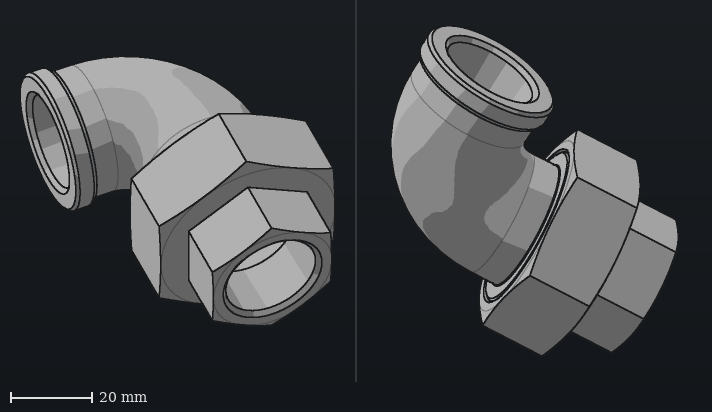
import cadquery as cq
import math


pipe_diameter = 33.0
pipe_bore = 28.4
bend_radius = 21.4

collar_diameter = 36.0
collar_end = 33.0
collar_length = 5.6
collar_front_chamfer = 0.8
collar_back_chamfer_length = 1.0
collar_back_chamfer_depth = 0.5

thread_bore = 24.1
thread_depth = 15.1
thread_chamfer = 1.2

nut_flats = 47.0
nut_start = 28.65
nut_end = 47.5
nut_opening = 42.3

flange_diameter = 41.15
flange_chamfer = 0.5
flange_gap_depth = 2.0

rim_diameter = 33.4
rim_height = 0.25

tail_flats = 31.9
tail_end = 62.7

hex_chamfer_angle = 15.0


def x_cylinder(diameter, start, end):
    """Cylinder on the X axis between two X positions."""
    return cq.Workplane("YZ", origin=(start, 0, 0)).circle(diameter / 2).extrude(end - start)


def y_cylinder(diameter, start, end):
    """Cylinder on the Y axis between two Y positions."""
    return cq.Workplane("XZ", origin=(0, end, 0)).circle(diameter / 2).extrude(end - start)


def bend(diameter, radius):
    """Quarter torus that turns from the -Y leg to the +X leg."""
    end_disc = cq.Workplane("YZ", origin=(radius, 0, 0)).circle(diameter / 2)
    return end_disc.revolve(90, (-radius, 0, 0), (-radius, 1, 0))


def hexagon(flats, start, end, chamfer_start, chamfer_end):
    """Hexagonal bar on the X axis with corners at +Z and -Z and turned-down ends."""
    corner_radius = flats / math.sqrt(3)
    flat_radius = flats / 2
    drop = (corner_radius - flat_radius) * math.tan(math.radians(hex_chamfer_angle))
    corners = [
        (
            corner_radius * math.sin(math.radians(60 * i)),
            corner_radius * math.cos(math.radians(60 * i)),
        )
        for i in range(6)
    ]
    bar = cq.Workplane("YZ", origin=(start, 0, 0)).polyline(corners).close().extrude(end - start)

    profile = [(start, 0)]
    if chamfer_start:
        profile += [(start, flat_radius), (start + drop, corner_radius)]
    else:
        profile += [(start, corner_radius)]
    if chamfer_end:
        profile += [(end - drop, corner_radius), (end, flat_radius)]
    else:
        profile += [(end, corner_radius)]
    profile += [(end, 0)]
    envelope = cq.Workplane("XY").polyline(profile).close().revolve(360, (0, 0, 0), (1, 0, 0))
    return bar.intersect(envelope)


def collar():
    """Ring around the -Y opening, chamfered at both ends."""
    radius = collar_diameter / 2
    back = -collar_end + collar_length
    profile = [
        (0, -collar_end),
        (radius - collar_front_chamfer, -collar_end),
        (radius, -collar_end + collar_front_chamfer),
        (radius, back - collar_back_chamfer_length),
        (radius - collar_back_chamfer_depth, back),
        (0, back),
    ]
    return cq.Workplane("XY").polyline(profile).close().revolve(360, (0, 0, 0), (0, 1, 0))


def nut():
    """Union nut with the pipe flange set in its opening behind a ring-shaped gap."""
    body = hexagon(nut_flats, nut_start, nut_end, True, True)
    opening = x_cylinder(nut_opening, nut_start, nut_start + flange_gap_depth)
    flange = x_cylinder(flange_diameter, nut_start, nut_start + flange_gap_depth)
    return body.cut(opening).union(flange.faces("<X").chamfer(flange_chamfer))


def thread_hole(end):
    """Bore with a chamfered mouth, cut from the XZ plane position -end toward +Y."""
    radius = thread_bore / 2
    profile = [
        (0, -end),
        (radius + thread_chamfer, -end),
        (radius, -end + thread_chamfer),
        (radius, -end + thread_depth),
        (0, -end + thread_depth),
    ]
    return cq.Workplane("XY").polyline(profile).close().revolve(360, (0, 0, 0), (0, 1, 0))


outside = (
    bend(pipe_diameter, bend_radius)
    .union(y_cylinder(pipe_diameter, -collar_end + collar_front_chamfer, -bend_radius))
    .union(x_cylinder(pipe_diameter, bend_radius, nut_end))
    .union(x_cylinder(rim_diameter, nut_start - rim_height, nut_end))
    .union(collar())
    .union(nut())
    .union(hexagon(tail_flats, nut_end, tail_end, False, True))
)

inside_bend_radius = collar_end - thread_depth
passage = bend(pipe_bore, inside_bend_radius).union(
    x_cylinder(pipe_bore, inside_bend_radius, tail_end - thread_depth)
)
inlet = thread_hole(collar_end)
outlet = thread_hole(tail_end).rotate((0, 0, 0), (0, 0, 1), 90)

result = outside.cut(passage).cut(inlet).cut(outlet)